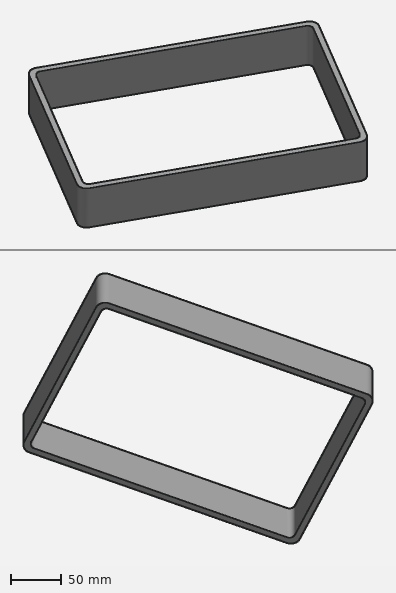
import cadquery as cq

width = 200.0
length = 300.0
height = 50.0

wall = 6.5
outer_radius = 10.0
inner_radius = 6.0


def rounded_block(size_x, size_y, corner_radius):
    """Block of full frame height with rounded vertical edges."""
    block = cq.Workplane("XY").box(size_x, size_y, height)
    return block.edges("|Z").fillet(corner_radius)


outer = rounded_block(width, length, outer_radius)
opening = rounded_block(width - 2 * wall, length - 2 * wall, inner_radius)

result = outer.cut(opening)